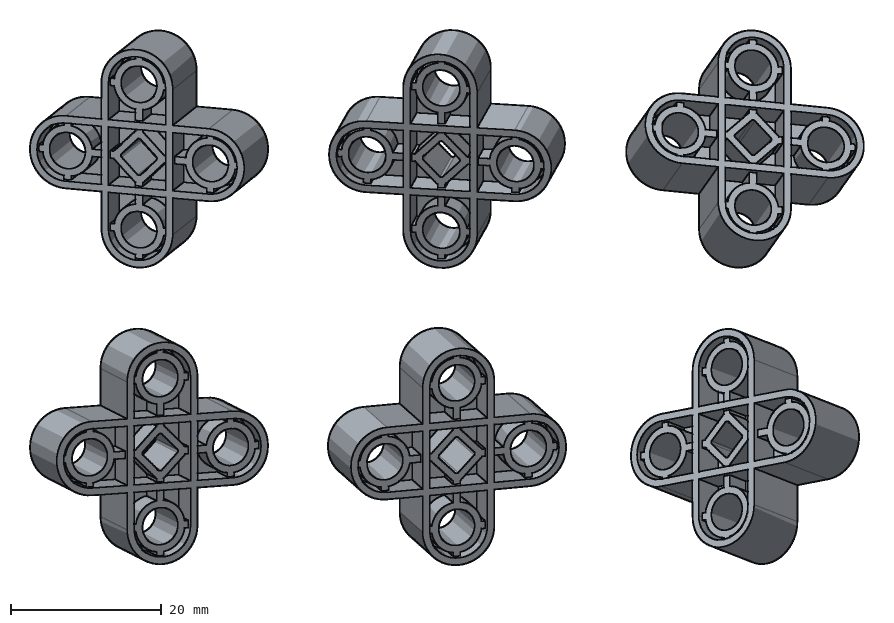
import cadquery as cq

span = 30.0
arm_width = span / 3
depth = arm_width
end_radius = arm_width / 2
hole_offset = span / 2 - end_radius

wall = arm_width / 10
web = wall
rib_width = wall
boss_recess = 0.8
pocket_width = arm_width - 2 * wall

hole_diameter = arm_width / 2
ring_diameter = hole_diameter + 2 * wall
square_hole_side = 3.75
square_hole_corner_radius = 0.3
square_boss_side = square_hole_side + 2 * wall

hole_centres = [(hole_offset, 0), (-hole_offset, 0), (0, hole_offset), (0, -hole_offset)]
boss_depth = depth - 2 * boss_recess


def plane(thickness):
    """XZ workplane whose extrusion by thickness is centred in the depth."""
    return cq.Workplane("XZ", origin=(0, thickness / 2, 0))


def block(x, z, x_size, z_size, thickness):
    """Rectangular block centred at (x, z)."""
    return plane(thickness).center(x, z).rect(x_size, z_size).extrude(thickness)


def slots(width, thickness):
    """Two crossed, round-ended bars of the given width."""
    length = 2 * hole_offset + width
    bar = plane(thickness).slot2D(length, width).extrude(thickness)
    return bar.union(plane(thickness).slot2D(length, width, 90).extrude(thickness))


def diamond(side, thickness):
    """Square prism standing on one corner."""
    return plane(thickness).transformed(rotate=(0, 0, 45)).rect(side, side).extrude(thickness)


def walls():
    """Outer rim plus the four straight walls around the middle cell."""
    rim = slots(arm_width, depth).cut(slots(pocket_width, depth))
    cell = block(0, 0, arm_width, arm_width, depth)
    cell = cell.cut(block(0, 0, pocket_width, pocket_width, depth))
    return rim.union(cell)


def ribs():
    """Two long ribs along the arms and a short one across each arm, ending inside the rim."""
    long_rib = span - wall
    short_rib = arm_width - wall
    bars = block(0, 0, long_rib, rib_width, boss_depth)
    bars = bars.union(block(0, 0, rib_width, long_rib, boss_depth))
    for offset in (-hole_offset, hole_offset):
        bars = bars.union(block(offset, 0, rib_width, short_rib, boss_depth))
        bars = bars.union(block(0, offset, short_rib, rib_width, boss_depth))
    return bars


def bosses():
    """Rings around the round holes and a square boss in the middle, joined by the ribs."""
    rings = plane(boss_depth).pushPoints(hole_centres).circle(ring_diameter / 2).extrude(boss_depth)
    return rings.union(diamond(square_boss_side, boss_depth)).union(ribs())


def holes():
    """Round through holes in the arms and a square one with rounded corners in the middle."""
    round_holes = plane(depth).pushPoints(hole_centres).circle(hole_diameter / 2).extrude(depth)
    square_hole = diamond(square_hole_side, depth).edges("|Y").fillet(square_hole_corner_radius)
    return round_holes.union(square_hole)


body = walls().union(slots(arm_width, web)).union(bosses())
result = body.cut(holes())